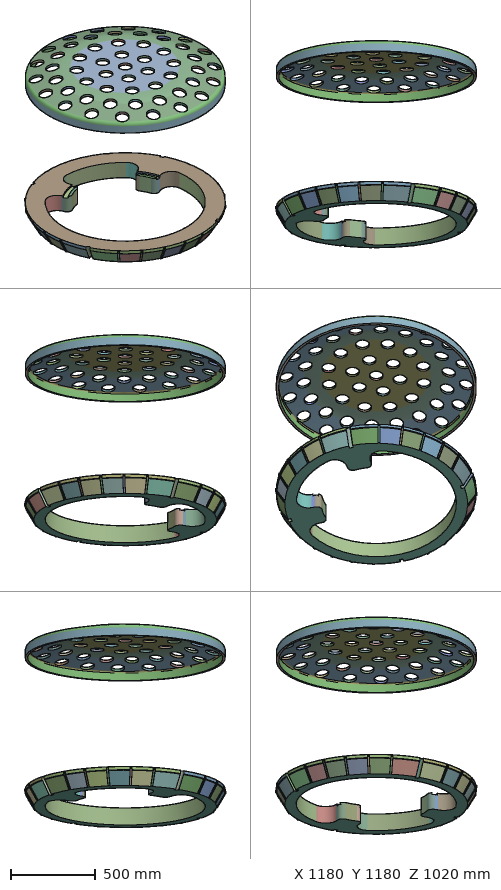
import cadquery as cq
import math

OUTER_RADIUS = 590.0
TOTAL_HEIGHT = 1020.0

COVER_HEIGHT = 120.0
COVER_WALL = 14.8
FLAT_RADIUS = 321.0
CONE_START_RADIUS = 427.0
CONE_SLOPE = math.radians(14.8)
RIM_FILLET = 24.0
HOLE_DIAMETER = 80.0
HOLE_CIRCLES = [(0, 1, 0), (144.0, 6, 0), (289.0, 12, 0), (430.0, 18, 0), (531.0, 18, 10)]

RING_HEIGHT = 104.0
BAND_BOTTOM = 84.0
TAPER_TOP = 81.0
TAPER_TOP_RADIUS = 585.0
BOTTOM_RADIUS = 538.0
BORE_RADIUS = 472.0
TAPER_RATIO = (TAPER_TOP_RADIUS - BOTTOM_RADIUS) / TAPER_TOP

ARM_ANGLES = (90, 180)
ARM_HALF_WIDTH = 73.0
ARM_TIP_RADIUS = 323.0
ARM_ROOT_FILLET = 71.0
ARM_TIP_FILLET = 33.0
ARM_GROOVE_OUTER_RADIUS = 374.0
ARM_GROOVE_INNER_RADIUS = 342.0
ARM_GROOVE_DEPTH = 11.0

RIB_WIDTH = 12.0
RIB_PROJECTION = 5.0
RIB_TOP = 98.0
RIBS_PER_GROUP = 5
RIB_STEP_ANGLE = 13.5

BURIED_DEPTH = 12.0

NOTCH_WIDTH = 24.0
NOTCH_DEPTH = 11.0
NOTCH_FLOOR_FILLET = 5.0
NOTCH_CUTTER_SIZE = 59.0
NOTCH_CUTTER_LENGTH = 3 * RING_HEIGHT
GROUP_COUNT = 4
GROUP_ANGLE = 360 / GROUP_COUNT


def dome(inset):
    """Solid of revolution lying a distance `inset` inside the outer face of the cover."""
    sin_slope = math.sin(CONE_SLOPE)
    cos_slope = math.cos(CONE_SLOPE)
    shoulder_radius = (CONE_START_RADIUS - FLAT_RADIUS) / sin_slope
    shoulder_center_z = COVER_HEIGHT - shoulder_radius
    cone_start_z = shoulder_center_z + shoulder_radius * cos_slope

    rim_center_r = OUTER_RADIUS - RIM_FILLET
    rim_end_r = rim_center_r + RIM_FILLET * sin_slope
    rim_end_z = cone_start_z - (rim_end_r - CONE_START_RADIUS) * math.tan(CONE_SLOPE)
    rim_center_z = rim_end_z - RIM_FILLET * cos_slope

    def shoulder_point(angle):
        radius = shoulder_radius - inset
        return (FLAT_RADIUS + radius * math.sin(angle), shoulder_center_z + radius * math.cos(angle))

    def rim_point(angle):
        radius = RIM_FILLET - inset
        return (rim_center_r + radius * math.sin(angle), rim_center_z + radius * math.cos(angle))

    skirt_angle = math.pi / 2
    profile = (
        cq.Workplane("XZ")
        .moveTo(0, 0)
        .lineTo(0, COVER_HEIGHT - inset)
        .lineTo(*shoulder_point(0))
        .threePointArc(shoulder_point(CONE_SLOPE / 2), shoulder_point(CONE_SLOPE))
        .lineTo(*rim_point(CONE_SLOPE))
        .threePointArc(rim_point((CONE_SLOPE + skirt_angle) / 2), rim_point(skirt_angle))
        .lineTo(OUTER_RADIUS - inset, 0)
        .close()
    )
    return profile.revolve(360, (0, 0, 0), (0, 1, 0))


def make_cover():
    cover = dome(0).cut(dome(COVER_WALL))
    for circle_radius, count, first_angle in HOLE_CIRCLES:
        holes = (
            cq.Workplane("XY")
            .polarArray(circle_radius, first_angle, 360, count)
            .circle(HOLE_DIAMETER / 2)
            .extrude(COVER_HEIGHT)
        )
        cover = cover.cut(holes)
    return cover.translate((0, 0, TOTAL_HEIGHT - COVER_HEIGHT))


def disc(radius, height=RING_HEIGHT):
    return cq.Workplane("XY").circle(radius).extrude(height)


def around_axis(body, angle):
    return body.rotate((0, 0, 0), (0, 0, 1), angle)


def ring_blank():
    """Solid band and taper, before the bore is cut."""
    return (
        cq.Workplane("XZ")
        .moveTo(0, 0)
        .lineTo(BOTTOM_RADIUS, 0)
        .lineTo(TAPER_TOP_RADIUS, TAPER_TOP)
        .lineTo(OUTER_RADIUS, BAND_BOTTOM)
        .lineTo(OUTER_RADIUS, RING_HEIGHT)
        .lineTo(0, RING_HEIGHT)
        .close()
        .revolve(360, (0, 0, 0), (0, 1, 0))
    )


def on_circle(center, radius, angle):
    return (center[0] + radius * math.cos(angle), center[1] + radius * math.sin(angle))


def mirrored(point):
    return (point[0], -point[1])


def arm():
    """Full-height arm along +X, blended into the bore and hollowed to an arc at its tip."""
    root_center_y = ARM_HALF_WIDTH + ARM_ROOT_FILLET
    root_angle = math.asin(root_center_y / (BORE_RADIUS - ARM_ROOT_FILLET))
    root_center = on_circle((0, 0), BORE_RADIUS - ARM_ROOT_FILLET, root_angle)
    root_outer = on_circle((0, 0), BORE_RADIUS, root_angle)
    root_middle = on_circle(root_center, ARM_ROOT_FILLET, (root_angle - math.pi / 2) / 2)
    root_inner = on_circle(root_center, ARM_ROOT_FILLET, -math.pi / 2)

    tip_center_y = ARM_HALF_WIDTH - ARM_TIP_FILLET
    tip_angle = math.asin(tip_center_y / (ARM_TIP_RADIUS + ARM_TIP_FILLET))
    tip_center = on_circle((0, 0), ARM_TIP_RADIUS + ARM_TIP_FILLET, tip_angle)
    tip_outer = on_circle(tip_center, ARM_TIP_FILLET, math.pi / 2)
    tip_middle = on_circle(tip_center, ARM_TIP_FILLET, math.pi * 0.75 + tip_angle / 2)
    tip_inner = on_circle((0, 0), ARM_TIP_RADIUS, tip_angle)

    back = (BORE_RADIUS + BURIED_DEPTH, root_outer[1])
    outline = (
        cq.Workplane("XY")
        .moveTo(*back)
        .lineTo(*root_outer)
        .threePointArc(root_middle, root_inner)
        .lineTo(*tip_outer)
        .threePointArc(tip_middle, tip_inner)
        .threePointArc((ARM_TIP_RADIUS, 0), mirrored(tip_inner))
        .threePointArc(mirrored(tip_middle), mirrored(tip_outer))
        .lineTo(*mirrored(root_inner))
        .threePointArc(mirrored(root_middle), mirrored(root_outer))
        .lineTo(*mirrored(back))
        .close()
    )
    groove = disc(ARM_GROOVE_OUTER_RADIUS, ARM_GROOVE_DEPTH).cut(
        disc(ARM_GROOVE_INNER_RADIUS, ARM_GROOVE_DEPTH)
    )
    return outline.extrude(RING_HEIGHT).cut(groove.translate((0, 0, RING_HEIGHT - ARM_GROOVE_DEPTH)))


def upright_slab(points, width):
    """Radial (r, z) outline given a width centred on the +X axis."""
    return cq.Workplane("XZ").polyline(points).close().extrude(width / 2, both=True)


def rib():
    """Rib along +X that follows the taper and ends part-way up the band."""
    foot_radius = BOTTOM_RADIUS + RIB_PROJECTION
    crest_radius = OUTER_RADIUS + RIB_PROJECTION
    crest_z = (crest_radius - foot_radius) / TAPER_RATIO
    return upright_slab(
        [
            (BOTTOM_RADIUS - BURIED_DEPTH, 0),
            (foot_radius, 0),
            (crest_radius, crest_z),
            (crest_radius, RIB_TOP),
            (OUTER_RADIUS - BURIED_DEPTH, RIB_TOP),
        ],
        RIB_WIDTH,
    )


def notch():
    """Cutter along +X: a straight channel parallel to the taper, with rounded floor corners."""
    lean = math.degrees(math.atan(TAPER_RATIO))
    floor_radius = OUTER_RADIUS - NOTCH_DEPTH
    channel = (
        cq.Workplane("XY")
        .box(NOTCH_CUTTER_SIZE, NOTCH_WIDTH, NOTCH_CUTTER_LENGTH)
        .translate((NOTCH_CUTTER_SIZE / 2, 0, 0))
        .edges("|Z and <X")
        .fillet(NOTCH_FLOOR_FILLET)
    )
    return channel.rotate((0, 0, 0), (0, 1, 0), lean).translate((floor_radius, 0, RING_HEIGHT))


def make_base_ring():
    ring = ring_blank().cut(disc(BORE_RADIUS))
    for angle in ARM_ANGLES:
        ring = ring.union(around_axis(arm(), angle))
    for group in range(GROUP_COUNT):
        notch_angle = group * GROUP_ANGLE
        ring = ring.cut(around_axis(notch(), notch_angle))
        for index in range(RIBS_PER_GROUP):
            offset = (index - (RIBS_PER_GROUP - 1) / 2) * RIB_STEP_ANGLE
            ring = ring.union(around_axis(rib(), notch_angle + GROUP_ANGLE / 2 + offset))
    return ring


cover = make_cover()
base_ring = make_base_ring()
result = cq.Compound.makeCompound([cover.val(), base_ring.val()])